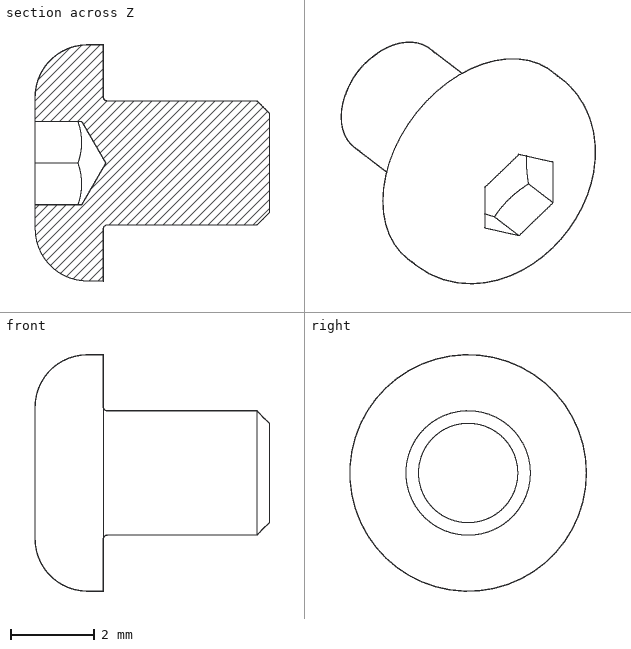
import cadquery as cq
import math

head_diameter = 5.7
head_height = 1.65
rim_width = 0.38
shank_diameter = 3.0
shank_length = 4.0
neck_fillet = 0.095
tip_chamfer = 0.3
socket_flats = 2.0
socket_corner_depth = 1.04
socket_cone_angle = 120.0
drill_oversize = 0.17

head_radius = head_diameter / 2
shank_radius = shank_diameter / 2
total_length = head_height + shank_length
dome_radius = head_height - rim_width
face_radius = head_radius - dome_radius
socket_corner_radius = socket_flats / math.sqrt(3)
socket_cone_height = socket_corner_radius / math.tan(math.radians(socket_cone_angle / 2))
socket_depth = socket_corner_depth + socket_cone_height


def revolve_about_x(profile):
    return profile.close().revolve(360, (0, 0, 0), (1, 0, 0))


def make_body():
    """Domed head, filleted neck and chamfered shank as one revolved profile."""
    arc_reach = math.sqrt(0.5)
    dome_middle = (dome_radius * (1 - arc_reach), face_radius + dome_radius * arc_reach)
    fillet_rise = neck_fillet * (1 - arc_reach)
    neck_middle = (head_height + fillet_rise, shank_radius + fillet_rise)
    profile = (
        cq.Workplane("XY")
        .lineTo(0, face_radius)
        .threePointArc(dome_middle, (dome_radius, head_radius))
        .lineTo(head_height, head_radius)
        .lineTo(head_height, shank_radius + neck_fillet)
        .threePointArc(neck_middle, (head_height + neck_fillet, shank_radius))
        .lineTo(total_length - tip_chamfer, shank_radius)
        .lineTo(total_length, shank_radius - tip_chamfer)
        .lineTo(total_length, 0)
    )
    return revolve_about_x(profile)


def make_socket():
    """Hexagon with corners on the Z axis, ending in a conical drill point."""
    corners = []
    for index in range(6):
        angle = math.radians(60 * index + 90)
        across = socket_corner_radius * math.cos(angle)
        upward = socket_corner_radius * math.sin(angle)
        corners.append((across, upward))
    hexagon = cq.Workplane("YZ").polyline(corners).close().extrude(socket_depth)
    drill_radius = socket_corner_radius + drill_oversize
    drill_edge = socket_depth - socket_cone_height * drill_radius / socket_corner_radius
    drill = revolve_about_x(
        cq.Workplane("XY")
        .lineTo(0, drill_radius)
        .lineTo(drill_edge, drill_radius)
        .lineTo(socket_depth, 0)
    )
    return hexagon.intersect(drill)


result = make_body().cut(make_socket())